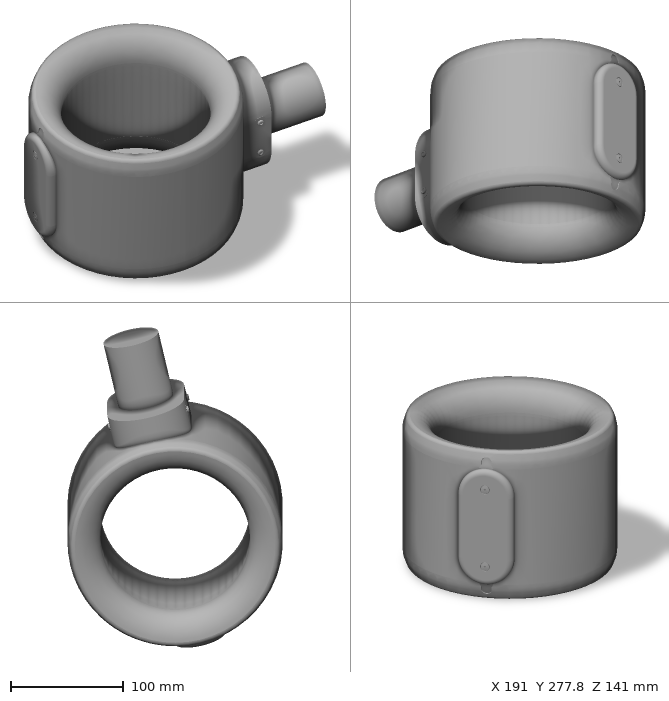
import cadquery as cq
import math

outer_radius = 95.5
bore_radius = 66.5
ring_half_height = 70.5
wall_half_height = 55.0

crown_radius = 30.5
crown_top_height = 68.5
crown_end_angle = math.asin((crown_top_height - wall_half_height) / crown_radius)
crown_top_radius = outer_radius - crown_radius * (1 - math.cos(crown_end_angle))
lip_radius = (ring_half_height - crown_top_height) / (1 - math.sin(crown_end_angle))
lip_inner_radius = crown_top_radius - lip_radius * math.cos(crown_end_angle)

mouth_width = lip_inner_radius - bore_radius
mouth_height = 25.5
mouth_radius = (mouth_width**2 + mouth_height**2) / (2 * mouth_width)
mouth_sweep = math.asin(mouth_height / mouth_radius)
liner_radius = 66.58
liner_half_height = 42.3

pipe_radius = 25.0
pipe_end = 177.0
collar_end = 117.5
collar_width = 70.0
collar_flat_height = 39.8
root_depth = 83.5

socket_sides = 6

collar_pad_radius = 6.25
collar_screw_height = 17.65
collar_screw_y = 106.5
collar_screw_radius = 2.92
collar_screw_length = 1.7
collar_screw_fillet = 0.97
collar_socket_size = 3.3
collar_socket_depth = 0.8

cover_width = 50.0
cover_straight_height = 59.8
cover_face = 100.5
cover_fillet = 5.0

cover_screw_height = 36.7
counterbore_radius = 4.3
counterbore_depth = 1.5
cover_screw_radius = 3.75
cover_screw_top_radius = 1.5
cover_screw_rise = 0.3
cover_socket_size = 2.2
cover_socket_depth = 1.0

recess_width = 9.5
recess_base_width = 14.5
recess_base_height = 54.0
recess_flare_height = 58.0
recess_tip_height = 65.0
recess_depth = 1.0
recess_tilt = math.radians(15)
recess_cut_height = 5.5


def arc_middle(center, radius, start_angle, end_angle):
    angle = (start_angle + end_angle) / 2
    return (center[0] + radius * math.cos(angle), center[1] + radius * math.sin(angle))


def obround(width, straight_height, start, end):
    """Upright obround prism running along Y from start to end."""
    plane = cq.Workplane("XZ", origin=(0, start, 0))
    return plane.slot2D(straight_height + width, width, 90).extrude(start - end)


def ring():
    crown_center = (outer_radius - crown_radius, wall_half_height)
    lip_center = (lip_inner_radius, ring_half_height - lip_radius)
    mouth_bottom = ring_half_height - mouth_height
    mouth_center = (bore_radius + mouth_radius, mouth_bottom)
    upper_half = (
        cq.Workplane("XZ")
        .moveTo(liner_radius, 0)
        .lineTo(outer_radius, 0)
        .lineTo(outer_radius, wall_half_height)
        .threePointArc(
            arc_middle(crown_center, crown_radius, 0, crown_end_angle),
            (crown_top_radius, crown_top_height),
        )
        .threePointArc(
            arc_middle(lip_center, lip_radius, crown_end_angle, math.pi / 2),
            (lip_inner_radius, ring_half_height),
        )
        .threePointArc(
            arc_middle(mouth_center, mouth_radius, math.pi - mouth_sweep, math.pi),
            (bore_radius, mouth_bottom),
        )
        .lineTo(bore_radius, liner_half_height)
        .lineTo(liner_radius, liner_half_height)
        .close()
        .revolve(360, (0, 0, 0), (0, 1, 0))
    )
    return upper_half.union(upper_half.mirror("XY"))


def collar_screws(side):
    """Round pads level with one collar flat, each with a socket screw head."""
    flat = collar_width / 2
    screws = cq.Workplane("YZ")
    for height in (-collar_screw_height, collar_screw_height):
        center = cq.Workplane("YZ", origin=(flat, collar_screw_y, height))
        pad = center.circle(collar_pad_radius).extrude(-collar_pad_radius)
        head = (
            center.circle(collar_screw_radius)
            .extrude(collar_screw_length)
            .faces(">X").edges().fillet(collar_screw_fillet)
            .faces(">X").workplane()
            .polygon(socket_sides, collar_socket_size).cutBlind(-collar_socket_depth)
        )
        screws = screws.union(pad).union(head)
    return screws if side > 0 else screws.mirror("YZ")


def cover():
    plate = obround(cover_width, cover_straight_height, -root_depth, -cover_face)
    plate = plate.faces("<Y").edges().fillet(cover_fillet)
    for height in (-cover_screw_height, cover_screw_height):
        face = cq.Workplane("XZ", origin=(0, -cover_face, height))
        plate = plate.cut(face.circle(counterbore_radius).extrude(-counterbore_depth))
        plate = plate.union(cover_screw(face))
    return plate


def cover_screw(face):
    """Low domed screw head with a hexagon socket, standing in its counterbore."""
    radius_terms = cover_screw_radius**2 - cover_screw_top_radius**2 - cover_screw_rise**2
    dome_center_depth = radius_terms / (2 * cover_screw_rise)
    dome_radius = math.hypot(cover_screw_radius, dome_center_depth)
    dome = face.workplane(offset=-dome_center_depth).sphere(dome_radius)
    top = face.workplane(offset=cover_screw_rise)
    head = top.circle(cover_screw_radius).extrude(-counterbore_depth - cover_screw_rise)
    socket = top.polygon(socket_sides, cover_socket_size).extrude(-cover_socket_depth - cover_screw_rise)
    return head.intersect(dome).cut(socket)


def recess_cutter():
    """Cutter for a flat round-ended recess in the upper rim, flared where it meets the cover."""
    middle_height = (recess_base_height + recess_tip_height) / 2
    crown_angle = math.asin((middle_height - wall_half_height) / crown_radius)
    surface_radius = outer_radius - crown_radius * (1 - math.cos(crown_angle))
    floor_radius = surface_radius - recess_depth
    base = recess_base_height - middle_height
    flare = recess_flare_height - middle_height
    tip = recess_tip_height - middle_height
    half_width = recess_width / 2
    half_base = recess_base_width / 2
    plane = cq.Plane(
        origin=(0, -floor_radius, middle_height),
        xDir=(1, 0, 0),
        normal=(0, -math.cos(recess_tilt), math.sin(recess_tilt)),
    )
    return (
        cq.Workplane(plane)
        .moveTo(-half_base, base)
        .lineTo(half_base, base)
        .lineTo(half_width, flare)
        .lineTo(half_width, tip - half_width)
        .threePointArc((0, tip), (-half_width, tip - half_width))
        .lineTo(-half_width, flare)
        .close()
        .extrude(recess_cut_height)
    )


collar = obround(collar_width, collar_flat_height, root_depth, collar_end)
pipe = cq.Workplane("XZ", origin=(0, pipe_end, 0)).circle(pipe_radius).extrude(pipe_end - root_depth)

result = ring().union(collar).union(pipe)
for collar_side in (-1, 1):
    result = result.union(collar_screws(collar_side))
upper_recess = recess_cutter()
result = result.cut(upper_recess).cut(upper_recess.mirror("XY")).union(cover())